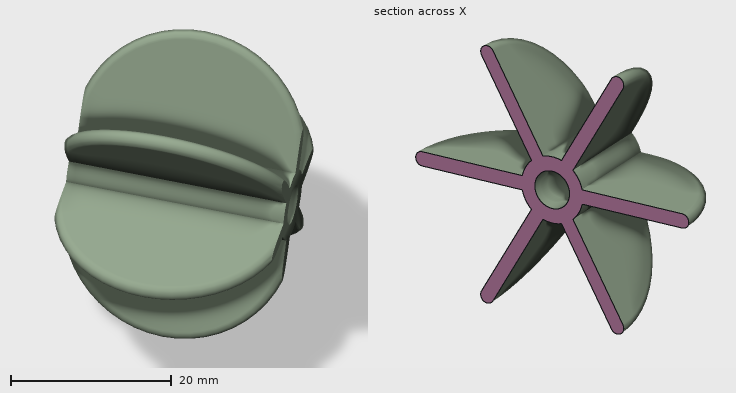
import cadquery as cq

wheel_diameter = 39.9
wheel_length = 28.0
hub_diameter = 9.0
bore_diameter = 5.0
blade_count = 6
blade_thickness = 2.0
blade_disc_radius = 14.85

tip_radius = wheel_diameter / 2
bore_radius = bore_diameter / 2
edge_radius = blade_thickness / 2
disc_center_y = tip_radius - blade_disc_radius


def make_blade():
    """Blade along +Y: a disc with a fully rounded rim, trimmed to the hub length."""
    flat_radius = blade_disc_radius - edge_radius
    disc = (
        cq.Workplane("XZ")
        .moveTo(0, -edge_radius)
        .lineTo(flat_radius, -edge_radius)
        .threePointArc((blade_disc_radius, 0), (flat_radius, edge_radius))
        .lineTo(0, edge_radius)
        .close()
        .revolve(360, (0, 0), (0, 1))
        .translate((0, disc_center_y, 0))
    )
    envelope = cq.Workplane("XY").box(
        wheel_length, tip_radius, blade_thickness, centered=(True, False, True)
    ).translate((0, bore_radius, 0))
    return disc.intersect(envelope)


result = cq.Workplane("YZ").circle(hub_diameter / 2).extrude(wheel_length / 2, both=True)

blade = make_blade()
for index in range(blade_count):
    angle = index * 360 / blade_count
    result = result.union(blade.rotate((0, 0, 0), (1, 0, 0), angle))

bore = cq.Workplane("YZ").circle(bore_radius).extrude(wheel_length / 2, both=True)
result = result.cut(bore)